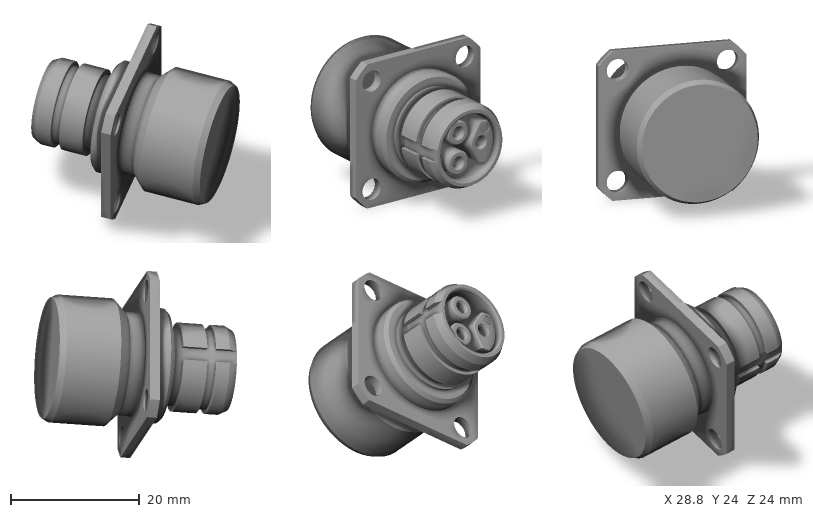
import cadquery as cq
import math

length = 28.8
plate_width = 24.0

nose_taper_end = 1.25
seal_groove_start = 3.4
seal_groove_end = 4.8
key_end = 8.6
latch_groove_end = 10.0
boss_start = 10.45
plate_start = 13.48
plate_end = 15.03
neck_end = 17.28
shell_start = 19.15
shell_taper_start = 27.8

nose_tip_radius = 6.28
nose_radius = 6.95
seal_groove_radius = 6.28
latch_groove_radius = 6.08
boss_radius = 8.95
neck_radius = 8.1
shell_radius = 9.96
shell_end_radius = 9.45

groove_edge_chamfer = 0.1
boss_chamfer = 0.55
neck_flare_length = 0.25
neck_flare_height = 0.15

plate_corner_radius = 15.5
mount_hole_spacing = 17.97
mount_hole_diameter = 3.5

key_width = 2.13
key_floor = 6.15

socket_radius = 5.5
socket_depth = 7.0
mouth_chamfer = 0.23
insert_edge_chamfer = 0.3

contact_face = 0.98
contact_circle_radius = 2.88
post_radius = 2.0
post_tip_chamfer = 0.23
post_base_flare = 0.2
entry_radius = 1.15
entry_depth = 0.4
throat_radius = 0.9
throat_depth = 0.43
contact_hole_radius = 0.84
contact_hole_depth = 4.32

block_nose_radius = 1.93
block_height = 6.68
block_slope_angle = 60.0
block_edge_chamfer = 0.2
selection_margin = 0.03

marker_radius = 0.84
marker_depth = 0.2
post_marker_y = -1.53
post_marker_z = 3.6
ground_marker_y = -3.63
ground_marker_z = 2.2


def revolve_profile(points):
    """Turn a closed (x, radius) outline about the X axis."""
    return cq.Workplane("XY").polyline(points).close().revolve(360, (0, 0, 0), (1, 0, 0))


def cross_plane(x, y=0.0, z=0.0):
    """Plane facing +X, with local axes along Y and Z."""
    return cq.Workplane("YZ", origin=(x, y, z))


def contact_position(angle):
    """Y and Z of the contact at an angle around the connector axis."""
    turn = math.radians(angle)
    return contact_circle_radius * math.cos(turn), contact_circle_radius * math.sin(turn)


def make_body():
    return revolve_profile([
        (0, 0),
        (0, nose_tip_radius),
        (nose_taper_end, nose_radius),
        (seal_groove_start - groove_edge_chamfer, nose_radius),
        (seal_groove_start, nose_radius - groove_edge_chamfer),
        (seal_groove_start, seal_groove_radius),
        (seal_groove_end, seal_groove_radius),
        (seal_groove_end, nose_radius),
        (key_end, nose_radius),
        (key_end, latch_groove_radius),
        (latch_groove_end, latch_groove_radius),
        (latch_groove_end, nose_radius),
        (boss_start, nose_radius),
        (boss_start, boss_radius - boss_chamfer),
        (boss_start + boss_chamfer, boss_radius),
        (plate_start, boss_radius),
        (plate_end, boss_radius),
        (plate_end, neck_radius + neck_flare_height),
        (plate_end + neck_flare_length, neck_radius),
        (neck_end, neck_radius),
        (shell_start, shell_radius),
        (shell_taper_start, shell_radius),
        (length, shell_end_radius),
        (length, 0),
    ])


def make_plate():
    thickness = plate_end - plate_start
    square = cross_plane(plate_start).rect(plate_width, plate_width).extrude(thickness)
    corner_round = cross_plane(plate_start).circle(plate_corner_radius).extrude(thickness)
    holes = (
        cross_plane(plate_start)
        .rect(mount_hole_spacing, mount_hole_spacing, forConstruction=True)
        .vertices()
        .circle(mount_hole_diameter / 2)
        .extrude(thickness)
    )
    return square.intersect(corner_round).cut(holes)


def make_keyway():
    height = nose_radius - key_floor
    return cross_plane(0, key_floor + height / 2).rect(height, key_width).extrude(key_end)


def make_socket():
    """Socket space, with a sloped gutter around the edge of its floor."""
    return revolve_profile([
        (0, 0),
        (0, socket_radius + mouth_chamfer),
        (mouth_chamfer, socket_radius),
        (socket_depth + insert_edge_chamfer, socket_radius),
        (socket_depth, socket_radius - insert_edge_chamfer),
        (socket_depth, 0),
    ])


def make_post(y, z):
    return revolve_profile([
        (contact_face, 0),
        (contact_face, post_radius - post_tip_chamfer),
        (contact_face + post_tip_chamfer, post_radius),
        (socket_depth - post_base_flare, post_radius),
        (socket_depth, post_radius + post_base_flare),
        (socket_depth + insert_edge_chamfer, post_radius + post_base_flare),
        (socket_depth + insert_edge_chamfer, 0),
    ]).translate((0, y, z))


def make_block():
    """Block with a rounded edge and two sloped sides, embedded in the socket wall."""
    center_y = contact_position(180)[0]
    slope = math.radians(block_slope_angle)
    half_height = block_height / 2
    tangent_y = center_y + block_nose_radius * math.sin(slope)
    tangent_z = block_nose_radius * math.cos(slope)
    corner_y = tangent_y - (half_height - tangent_z) / math.tan(slope)
    outer_y = -socket_radius - mouth_chamfer
    block_end = socket_depth + insert_edge_chamfer
    block = (
        cross_plane(contact_face)
        .moveTo(outer_y, half_height)
        .lineTo(corner_y, half_height)
        .lineTo(tangent_y, tangent_z)
        .threePointArc((center_y + block_nose_radius, 0), (tangent_y, -tangent_z))
        .lineTo(corner_y, -half_height)
        .lineTo(outer_y, -half_height)
        .close()
        .extrude(block_end - contact_face)
    )
    sloped_edges = cq.selectors.BoxSelector(
        (contact_face - selection_margin, corner_y + selection_margin, -half_height),
        (contact_face + selection_margin, center_y + 2 * block_nose_radius, half_height),
    )
    block = block.edges(sloped_edges).chamfer(block_edge_chamfer)
    face_radius = socket_radius - insert_edge_chamfer
    embedded_radius = -outer_y
    rounded_limit = revolve_profile([
        (contact_face, 0),
        (contact_face, face_radius),
        (contact_face + embedded_radius - face_radius, embedded_radius),
        (block_end, embedded_radius),
        (block_end, 0),
    ])
    return block.intersect(rounded_limit)


def make_contact_hole(y, z):
    throat_start = contact_face + entry_depth
    throat_end = throat_start + throat_depth
    hole_end = contact_face + contact_hole_depth
    return revolve_profile([
        (contact_face, 0),
        (contact_face, entry_radius),
        (throat_start, throat_radius),
        (throat_end, throat_radius),
        (throat_end, contact_hole_radius),
        (hole_end, contact_hole_radius),
        (hole_end, 0),
    ]).translate((0, y, z))


def make_marker(face_x, y, z):
    return cross_plane(face_x, y, z).circle(marker_radius).extrude(marker_depth)


ground_contact = contact_position(180)
post_contacts = [contact_position(60), contact_position(-60)]

result = make_body().union(make_plate()).cut(make_keyway()).cut(make_socket())

result = result.union(make_block())
for y, z in post_contacts:
    result = result.union(make_post(y, z))

for y, z in post_contacts + [ground_contact]:
    result = result.cut(make_contact_hole(y, z))

for z in (post_marker_z, -post_marker_z):
    result = result.cut(make_marker(socket_depth, post_marker_y, z))
result = result.cut(make_marker(contact_face, ground_marker_y, ground_marker_z))